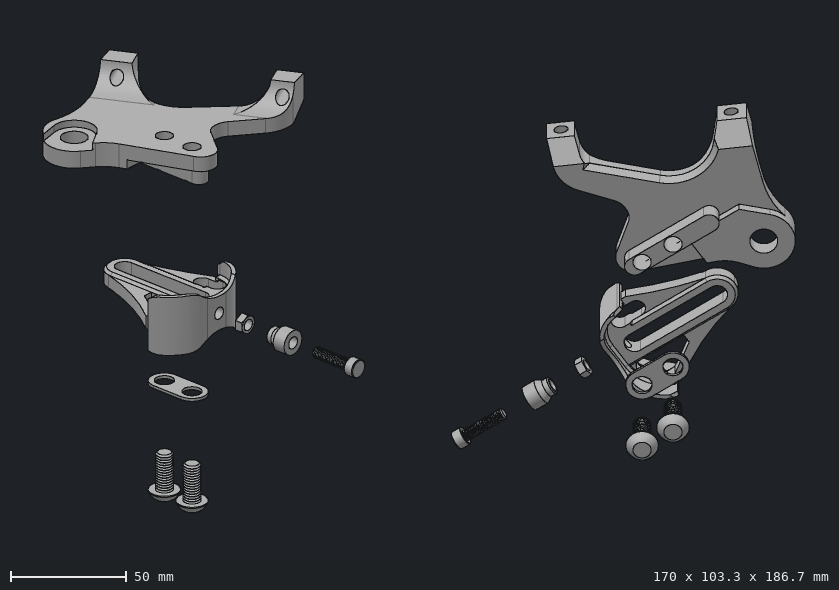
import cadquery as cq
import math


BOLT_SPACING = 16.0
BOLT_X = [0, BOLT_SPACING]
BOLT_R = 4.0
BOLT_PITCH = 1.21
SCREW_R = 2.6
SCREW_PITCH = 0.8
THREAD_DEPTH_RATIO = 0.6
CLEARANCE = 0.2

PLATE_BOTTOM = 68.0
PLATE_THICKNESS = 7.1
PLATE_TOP = PLATE_BOTTOM + PLATE_THICKNESS
EAR_HEIGHT = 12.1
EAR_TOP = PLATE_TOP + EAR_HEIGHT
EAR_ANGLE = 27
EAR_CORNER = (-57.2, 28.0)
EAR_DEPTH = 10.3
EAR_BLEND_R = 13.0
LEFT_EAR_WIDTH = 12.9
RIGHT_EAR_START = 75.0
RIGHT_EAR_END = 87.0
EAR_HOLE_R = 3.0
EAR_HOLE_OFFSETS = [6.7, 80.7]
EAR_HOLE_Z = 80.9
EAR_CHAMFER_RUN = 10.6
EAR_CHAMFER_RISE = 6.4
BOSS_CENTRE = (-32.3, -22.2)
BOSS_R = 13.6
BOSS_LEFT_ANGLE = 166.5
BOSS_RIGHT_ANGLE = -36.5
BOSS_HOLE_R = 6.0
BOSS_BOTTOM = 63.5
PAD_TOP_Y = -3.0
PAD_END_X = -5.8
RECESS_R = 9.9
RECESS_DEPTH = 3.4
RECESS_LEFT_ANGLE = 193
RECESS_RIGHT_ANGLE = 32
DISC_CENTRE = (-25.2, 40.5)
DISC_R = 19.5
DISC_EDGE_CHAMFER = 2.5
DISC_EDGE_REACH = 33.6
NOSE_TIP_X = 28.0
KEY_BOTTOM = 60.1
KEY_HALF_WIDTH = 4.3
KEY_START = -23.2
FAR = 149.5

ARM_HALF_HEIGHT = 4.5
ARM_CHAMFER = 1.3
STRUT_HALF_HEIGHT = ARM_HALF_HEIGHT - ARM_CHAMFER
RIB_HALF_WIDTH = 9.2
SLOT_HALF_WIDTH = KEY_HALF_WIDTH + CLEARANCE
SLOT_START_X = -23.0
SLOT_END_X = 20.0
SHIELD_X = 31.8
SHIELD_HALF_HEIGHT = 14.0
SHIELD_LENGTH = 18.7
SHIELD_BEVEL_RUN = 5.6
SHIELD_BEVEL_RISE = 4.0
SHIELD_THICKNESS = 2.0
SHIELD_FOOT = SHIELD_THICKNESS + ARM_CHAMFER
SHIELD_FOOT_HALF_HEIGHT = ARM_HALF_HEIGHT + ARM_CHAMFER
UPPER_BEND_R = 17.0
UPPER_BEND_Y = 4.5
UPPER_TAIL = 1.5
LOWER_BEND_R = 22.5
LOWER_BEND_Y = -7.5
LOWER_END_ANGLE = 72
SMALL_WINDOW_X = [10.3, 18.9]
SMALL_WINDOW_Y = 13.0
SMALL_WINDOW_R = 4.0
SCREW_HOLE_R = SCREW_R + CLEARANCE

NUT_START_X = 44.8
NUT_LENGTH = 4.0
NUT_ACROSS_FLATS = 8.0
NUT_CHAMFER = 0.5
BUSH_START_X = 62.5
BUSH_NECK_LENGTH = 3.0
BUSH_SHOULDER = 5.8
BUSH_LENGTH = 12.1
BUSH_SMALL_R = 4.1
BUSH_R = 5.8
BUSH_CHAMFER = 0.5
SCREW_TIP_X = 87.8
SCREW_LENGTH = 20.0
SCREW_HEAD_LENGTH = 5.0
SCREW_HEAD_R = 4.3
SCREW_HEAD_CHAMFER = 0.4
BOLT_HEAD_BOTTOM = -99.5
BOLT_HEAD_HEIGHT = 4.3
BOLT_HEAD_R = 7.1
BOLT_HEAD_FLAT_R = 4.0
BOLT_HEAD_RIM = 0.5
BOLT_LENGTH = 18.0
WASHER_BOTTOM = -44.3
WASHER_THICKNESS = 1.5
WASHER_END_R = 7.1
WASHER_HOLE_R = 4.3


def prism(sketch, bottom, top):
    """Raise a closed outline drawn on the XY plane from one height to another."""
    return sketch.extrude(top - bottom).translate((0, 0, bottom))


def obround(x_start, x_end, y, radius, bottom, top):
    """Round-ended bar along X; its end arcs are centred on x_start and x_end."""
    middle = (x_start + x_end) / 2
    sketch = cq.Workplane("XY").center(middle, y).slot2D(x_end - x_start + 2 * radius, 2 * radius)
    return prism(sketch, bottom, top)


EAR_PLANE = cq.Plane(
    origin=(*EAR_CORNER, 0),
    xDir=(math.cos(math.radians(EAR_ANGLE)), math.sin(math.radians(EAR_ANGLE)), 0),
    normal=(0, 0, 1),
)


def ear_point(along):
    """Point on the line of the ear end faces."""
    point = EAR_PLANE.toWorldCoords((along, 0, 0))
    return (point.x, point.y)


def boss_point(angle):
    """Point on the boss rim at the given angle from +X."""
    turn = math.radians(angle)
    return (BOSS_CENTRE[0] + BOSS_R * math.cos(turn), BOSS_CENTRE[1] + BOSS_R * math.sin(turn))


def bracket_outline():
    """Plan outline, anticlockwise from the outer corner of the left ear."""
    disc_reach = DISC_R * math.sqrt(0.5)
    return (
        cq.Workplane("XY")
        .moveTo(*EAR_CORNER)
        .lineTo(-47.0, 0.4)
        .tangentArcPoint(boss_point(BOSS_LEFT_ANGLE), relative=False)
        .threePointArc(boss_point(-90), boss_point(BOSS_RIGHT_ANGLE))
        .lineTo(-17.4, -25.2)
        .tangentArcPoint((-9.2, -19.0), relative=False)
        .lineTo(22.8, -6.5)
        .threePointArc((NOSE_TIP_X, 0.5), (24.7, 6.7))
        .lineTo(11.5, 16.8)
        .threePointArc((9.5, 22.5), (11.4, 28.4))
        .lineTo(21.5, 41.5)
        .tangentArcPoint((24.1, 56.5), relative=False)
        .lineTo(*ear_point(RIGHT_EAR_END))
        .lineTo(*ear_point(RIGHT_EAR_START))
        .lineTo(11.5, 55.0)
        .tangentArcPoint((10.5, 49.0), relative=False)
        .lineTo(DISC_CENTRE[0] + disc_reach, DISC_CENTRE[1] - disc_reach)
        .threePointArc(
            (DISC_CENTRE[0], DISC_CENTRE[1] - DISC_R),
            (DISC_CENTRE[0] - disc_reach, DISC_CENTRE[1] - disc_reach),
        )
        .lineTo(*ear_point(LEFT_EAR_WIDTH))
        .close()
    )


def ear_clearance_across():
    """Space behind the ears: a block along the ear line with a rounded root."""
    wall = -EAR_DEPTH
    root = wall - EAR_BLEND_R
    return (
        cq.Workplane(cq.Plane(EAR_PLANE.origin, EAR_PLANE.yDir, EAR_PLANE.xDir))
        .moveTo(wall, EAR_TOP)
        .lineTo(wall, PLATE_TOP + EAR_BLEND_R)
        .radiusArc((root, PLATE_TOP), EAR_BLEND_R)
        .lineTo(-FAR, PLATE_TOP)
        .lineTo(-FAR, PLATE_TOP + EAR_BLEND_R)
        .close()
        .extrude(FAR, both=True)
    )


def ear_clearance_between():
    """Space between the ears, rounded at the root of each ear."""
    left = LEFT_EAR_WIDTH
    right = RIGHT_EAR_START
    top = PLATE_TOP + EAR_BLEND_R
    return (
        cq.Workplane(cq.Plane(EAR_PLANE.origin, EAR_PLANE.xDir, -EAR_PLANE.yDir))
        .moveTo(left, top)
        .radiusArc((left + EAR_BLEND_R, PLATE_TOP), -EAR_BLEND_R)
        .lineTo(right - EAR_BLEND_R, PLATE_TOP)
        .radiusArc((right, top), -EAR_BLEND_R)
        .close()
        .extrude(FAR, both=True)
    )


def ear_chamfer():
    """Wedge under the end faces of both ears."""
    return (
        cq.Workplane(cq.Plane(EAR_PLANE.origin, EAR_PLANE.yDir, EAR_PLANE.xDir))
        .moveTo(0, PLATE_BOTTOM + EAR_CHAMFER_RISE)
        .lineTo(-EAR_CHAMFER_RUN, PLATE_BOTTOM)
        .lineTo(0, PLATE_BOTTOM)
        .close()
        .extrude(FAR, both=True)
    )


def disc_edge_chamfer():
    """Tapered plug that bevels the underside of the disc opening between the ears."""
    radius = DISC_R + DISC_EDGE_CHAMFER
    sketch = (
        cq.Workplane(cq.Plane((*DISC_CENTRE, PLATE_BOTTOM)))
        .transformed(rotate=(0, 0, 45))
        .moveTo(DISC_EDGE_REACH, -radius)
        .lineTo(0, -radius)
        .threePointArc((-radius * math.sqrt(0.5), -radius * math.sqrt(0.5)), (-radius, 0))
        .lineTo(-radius, DISC_R)
        .lineTo(DISC_EDGE_REACH, DISC_R)
        .close()
    )
    return sketch.extrude(DISC_EDGE_CHAMFER, taper=45)


def ear_holes():
    """Mounting holes through the ears, square to their end faces."""
    face = cq.Plane(EAR_PLANE.origin, EAR_PLANE.xDir, -EAR_PLANE.yDir)
    spots = [(offset, EAR_HOLE_Z) for offset in EAR_HOLE_OFFSETS]
    return cq.Workplane(face).pushPoints(spots).circle(EAR_HOLE_R).extrude(3 * EAR_DEPTH)


def boss_pad():
    """Thicker region under the boss: a round end and a slab, kept inside the plan outline."""
    x, y = BOSS_CENTRE
    tangent = BOSS_R * math.sqrt(0.5)
    round_end = cq.Workplane("XY").center(x, y).circle(BOSS_R)
    slab = (
        cq.Workplane("XY")
        .moveTo(x - tangent, y + tangent)
        .lineTo(x - 2 * tangent + PAD_TOP_Y - y, PAD_TOP_Y)
        .lineTo(PAD_END_X, PAD_TOP_Y)
        .lineTo(PAD_END_X, y - 2 * BOSS_R)
        .lineTo(x, y)
        .close()
    )
    pad = prism(round_end, BOSS_BOTTOM, PLATE_BOTTOM).union(prism(slab, BOSS_BOTTOM, PLATE_BOTTOM))
    return pad.intersect(prism(bracket_outline(), BOSS_BOTTOM, PLATE_BOTTOM))


def recess_side(angle, turn):
    """Tangent from the recess circle, starting at the given angle, to a point beyond the rim."""
    across = math.cos(math.radians(angle))
    up = math.sin(math.radians(angle))
    start_x = BOSS_CENTRE[0] + RECESS_R * across
    start_y = BOSS_CENTRE[1] + RECESS_R * up
    reach = 2 * BOSS_R
    return (start_x, start_y), (start_x - turn * reach * up, start_y + turn * reach * across)


def boss_recess():
    """Shallow seat around the boss hole, open towards the rim."""
    floor = PLATE_TOP - RECESS_DEPTH
    seat = cq.Workplane("XY").center(*BOSS_CENTRE).circle(RECESS_R)
    left_start, left_end = recess_side(RECESS_LEFT_ANGLE, 1)
    right_start, right_end = recess_side(RECESS_RIGHT_ANGLE, -1)
    mouth = cq.Workplane("XY").polyline([left_start, left_end, right_end, right_start]).close()
    return prism(seat, floor, EAR_TOP).union(prism(mouth, floor, EAR_TOP))


def make_bracket():
    body = prism(bracket_outline(), PLATE_BOTTOM, EAR_TOP)
    body = body.cut(ear_clearance_across()).cut(ear_clearance_between())
    body = body.cut(disc_edge_chamfer()).cut(ear_chamfer()).cut(ear_holes())
    body = body.union(boss_pad())
    body = body.union(
        obround(KEY_START + KEY_HALF_WIDTH, SLOT_END_X, 0, KEY_HALF_WIDTH, KEY_BOTTOM, PLATE_BOTTOM)
    )
    body = body.cut(boss_recess())
    boss_hole = cq.Workplane("XY").center(*BOSS_CENTRE).circle(BOSS_HOLE_R)
    bolt_holes = cq.Workplane("XY").pushPoints([(x, 0) for x in BOLT_X]).circle(BOLT_R)
    return body.cut(prism(boss_hole, 0, EAR_TOP)).cut(prism(bolt_holes, 0, EAR_TOP))


def shield_band(depth, half_height):
    """Curved wall following the shield's outer face, of the given depth inwards."""
    upper_x = SHIELD_X - UPPER_BEND_R
    lower_x = SHIELD_X - LOWER_BEND_R
    inner_upper = UPPER_BEND_R - depth
    inner_lower = LOWER_BEND_R - depth
    half = math.sqrt(0.5)
    end = math.radians(LOWER_END_ANGLE)
    mid = end / 2

    def lower(radius, angle):
        return (lower_x + radius * math.cos(angle), LOWER_BEND_Y - radius * math.sin(angle))

    def upper(radius):
        return (upper_x + radius * half, UPPER_BEND_Y + radius * half)

    sketch = (
        cq.Workplane("XY")
        .moveTo(upper_x - UPPER_TAIL, UPPER_BEND_Y + UPPER_BEND_R)
        .lineTo(upper_x, UPPER_BEND_Y + UPPER_BEND_R)
        .threePointArc(upper(UPPER_BEND_R), (SHIELD_X, UPPER_BEND_Y))
        .lineTo(SHIELD_X, LOWER_BEND_Y)
        .threePointArc(lower(LOWER_BEND_R, mid), lower(LOWER_BEND_R, end))
        .lineTo(*lower(inner_lower, end))
        .threePointArc(lower(inner_lower, mid), (SHIELD_X - depth, LOWER_BEND_Y))
        .lineTo(SHIELD_X - depth, UPPER_BEND_Y)
        .threePointArc(upper(inner_upper), (upper_x, UPPER_BEND_Y + inner_upper))
        .lineTo(upper_x - UPPER_TAIL, UPPER_BEND_Y + inner_upper)
        .close()
    )
    return sketch.extrude(half_height, both=True)


def shield_side_profile():
    """Waisted shape of the shield seen along X, symmetric about Z = 0."""
    half = (
        cq.Workplane("YZ")
        .moveTo(21.9, 0)
        .lineTo(21.9, 11.5)
        .lineTo(20.5, 12.9)
        .lineTo(13.0, 12.9)
        .threePointArc((0.5, 8.2), (-12.0, 12.9))
        .threePointArc((-14.5, 13.6), (-17.5, 14.0))
        .lineTo(-26.5, 14.0)
        .threePointArc((-28.4, 13.0), (-29.1, 10.5))
        .lineTo(-29.1, 0)
        .close()
        .extrude(FAR)
    )
    return half.union(half.mirror("XY"))


def shield_front_profile():
    """Block with bevelled corners that trims both free ends of the shield, seen along Y."""
    start = SHIELD_X - SHIELD_LENGTH
    low = SHIELD_HALF_HEIGHT - SHIELD_BEVEL_RISE
    return (
        cq.Workplane("XZ")
        .moveTo(start, -low)
        .lineTo(start, low)
        .lineTo(start + SHIELD_BEVEL_RUN, SHIELD_HALF_HEIGHT)
        .lineTo(SHIELD_X, SHIELD_HALF_HEIGHT)
        .lineTo(SHIELD_X, -SHIELD_HALF_HEIGHT)
        .lineTo(start + SHIELD_BEVEL_RUN, -SHIELD_HALF_HEIGHT)
        .close()
        .extrude(FAR, both=True)
    )


def arm_web():
    """Rib end and the two curved struts that reach out to the shield."""
    inner_x = SHIELD_X - SHIELD_THICKNESS
    sketch = (
        cq.Workplane("XY")
        .moveTo(SLOT_START_X, RIB_HALF_WIDTH)
        .threePointArc((SLOT_START_X - RIB_HALF_WIDTH, 0), (-24.7, -9.0))
        .threePointArc((-2.8, -17.2), (14.4, -27.8))
        .lineTo(inner_x, -13.0)
        .lineTo(inner_x, 7.5)
        .lineTo(26.0, 15.7)
        .lineTo(15.0, 20.5)
        .lineTo(10.8, 20.7)
        .threePointArc((-6.0, 14.0), (SLOT_START_X, RIB_HALF_WIDTH))
        .close()
    )
    return sketch.extrude(STRUT_HALF_HEIGHT, both=True)


def arm_rib():
    """Raised, bevelled rib around the slot, widening into the shield beside the small window."""
    buried_x = SHIELD_X - SHIELD_THICKNESS / 2
    sketch = (
        cq.Workplane("XY")
        .moveTo(SLOT_START_X, RIB_HALF_WIDTH)
        .threePointArc((SLOT_START_X - RIB_HALF_WIDTH, 0), (SLOT_START_X, -RIB_HALF_WIDTH))
        .lineTo(buried_x, -RIB_HALF_WIDTH)
        .lineTo(buried_x, 5.6)
        .lineTo(26.0, 15.7)
        .lineTo(15.0, 20.4)
        .lineTo(15.0, RIB_HALF_WIDTH)
        .close()
    )
    rib = sketch.extrude(ARM_HALF_HEIGHT, both=True)
    return rib.faces("<Z or >Z").chamfer(ARM_CHAMFER)


def large_window():
    """Opening between the rib, the long strut and the shield."""
    sketch = (
        cq.Workplane("XY")
        .moveTo(0.7, -RIB_HALF_WIDTH)
        .lineTo(0.7, -13.6)
        .lineTo(14.8, -23.4)
        .lineTo(18.5, -23.4)
        .lineTo(26.3, -15.0)
        .threePointArc((26.5, -11.0), (23.4, -RIB_HALF_WIDTH))
        .close()
    )
    return sketch.extrude(SHIELD_FOOT_HALF_HEIGHT, both=True)


def make_guide():
    shield = shield_band(SHIELD_THICKNESS, FAR / 2).intersect(shield_side_profile())
    shield = shield.intersect(shield_front_profile())
    foot = shield_band(SHIELD_FOOT, SHIELD_FOOT_HALF_HEIGHT)
    foot = foot.faces("<Z or >Z").chamfer(ARM_CHAMFER)
    body = arm_web().union(arm_rib()).union(foot).union(shield)
    body = body.cut(
        obround(*SMALL_WINDOW_X, SMALL_WINDOW_Y, SMALL_WINDOW_R, -ARM_HALF_HEIGHT, ARM_HALF_HEIGHT)
    )
    body = body.cut(large_window())
    body = body.cut(
        obround(SLOT_START_X, SLOT_END_X, 0, SLOT_HALF_WIDTH, -ARM_HALF_HEIGHT, ARM_HALF_HEIGHT)
    )
    screw_hole = cq.Workplane("YZ").circle(SCREW_HOLE_R).extrude(FAR).translate((SLOT_END_X, 0, 0))
    return body.cut(screw_hole)


def threaded_outline(start, radius, length, pitch):
    """Half-profile points (radius, distance) of a ringed shank running from its head to its tip."""
    depth = THREAD_DEPTH_RATIO * pitch
    rings = int((length - depth) / pitch)
    points = [(radius, start)]
    for ring in range(rings):
        crest = start + ring * pitch
        points += [(radius - depth, crest + pitch / 2), (radius, crest + pitch)]
    points += [(radius - depth, start + length), (0, start + length)]
    return points


def make_bolt():
    """Button-head bolt pointing up, with its head resting on Z = 0."""
    shank = threaded_outline(BOLT_HEAD_HEIGHT, BOLT_R, BOLT_LENGTH, BOLT_PITCH)
    rim_z = BOLT_HEAD_HEIGHT - BOLT_HEAD_RIM
    profile = (
        cq.Workplane("XZ")
        .lineTo(BOLT_HEAD_FLAT_R, 0)
        .threePointArc((6.0, 1.7), (BOLT_HEAD_R, rim_z))
        .lineTo(BOLT_HEAD_R, BOLT_HEAD_HEIGHT)
    )
    for point in shank:
        profile = profile.lineTo(*point)
    return profile.close().revolve(360, (0, 0, 0), (0, 1, 0))


def make_screw():
    """Cap-head clamp screw along X, its tip towards the guide arm."""
    head_x = SCREW_TIP_X + SCREW_LENGTH
    end_x = head_x + SCREW_HEAD_LENGTH
    shank = threaded_outline(0, SCREW_R, SCREW_LENGTH, SCREW_PITCH)
    profile = (
        cq.Workplane("XZ")
        .moveTo(end_x, 0)
        .lineTo(end_x, SCREW_HEAD_R - SCREW_HEAD_CHAMFER)
        .lineTo(end_x - SCREW_HEAD_CHAMFER, SCREW_HEAD_R)
        .lineTo(head_x + SCREW_HEAD_CHAMFER, SCREW_HEAD_R)
        .lineTo(head_x, SCREW_HEAD_R - SCREW_HEAD_CHAMFER)
    )
    for radius, distance in shank:
        profile = profile.lineTo(head_x - distance, radius)
    return profile.close().revolve(360, (0, 0, 0), (1, 0, 0))


def make_bush():
    """Stepped bush with a conical shoulder, bored for the clamp screw."""
    profile = (
        cq.Workplane("XZ")
        .moveTo(BUSH_START_X, SCREW_HOLE_R)
        .lineTo(BUSH_START_X, BUSH_SMALL_R - BUSH_CHAMFER)
        .lineTo(BUSH_START_X + BUSH_CHAMFER, BUSH_SMALL_R)
        .lineTo(BUSH_START_X + BUSH_NECK_LENGTH, BUSH_SMALL_R)
        .lineTo(BUSH_START_X + BUSH_SHOULDER, BUSH_R)
        .lineTo(BUSH_START_X + BUSH_LENGTH, BUSH_R)
        .lineTo(BUSH_START_X + BUSH_LENGTH, SCREW_HOLE_R)
        .close()
    )
    return profile.revolve(360, (0, 0, 0), (1, 0, 0))


def make_nut():
    """Hexagonal nut with corners at top and bottom."""
    across_corners = NUT_ACROSS_FLATS / math.cos(math.radians(30))
    hexagon = cq.Workplane("YZ").transformed(rotate=(0, 0, 90)).polygon(6, across_corners)
    nut = hexagon.extrude(NUT_LENGTH).translate((NUT_START_X, 0, 0))
    end_x = NUT_START_X + NUT_LENGTH
    flat_r = NUT_ACROSS_FLATS / 2
    rounding = (
        cq.Workplane("XZ")
        .moveTo(NUT_START_X, 0)
        .lineTo(NUT_START_X, across_corners)
        .lineTo(end_x - NUT_CHAMFER, flat_r + NUT_CHAMFER * math.sqrt(3))
        .lineTo(end_x, flat_r)
        .lineTo(end_x, 0)
        .close()
        .revolve(360, (0, 0, 0), (1, 0, 0))
    )
    bore = cq.Workplane("YZ").circle(SCREW_R).extrude(FAR)
    return nut.intersect(rounding).cut(bore)


def make_washer():
    """Two-hole washer plate shared by both bolts."""
    top = WASHER_BOTTOM + WASHER_THICKNESS
    plate = obround(*BOLT_X, 0, WASHER_END_R, WASHER_BOTTOM, top)
    holes = cq.Workplane("XY").pushPoints([(x, 0) for x in BOLT_X]).circle(WASHER_HOLE_R)
    return plate.cut(prism(holes, WASHER_BOTTOM, top))


bracket = make_bracket()
guide = make_guide()
nut = make_nut()
bush = make_bush()
screw = make_screw()
washer = make_washer()
bolts = [make_bolt().translate((x, 0, BOLT_HEAD_BOTTOM)) for x in BOLT_X]

result = cq.Compound.makeCompound(
    [
        bracket.solids().val(),
        guide.solids().val(),
        nut.solids().val(),
        bush.solids().val(),
        screw.solids().val(),
        washer.solids().val(),
        *[bolt.solids().val() for bolt in bolts],
    ]
)